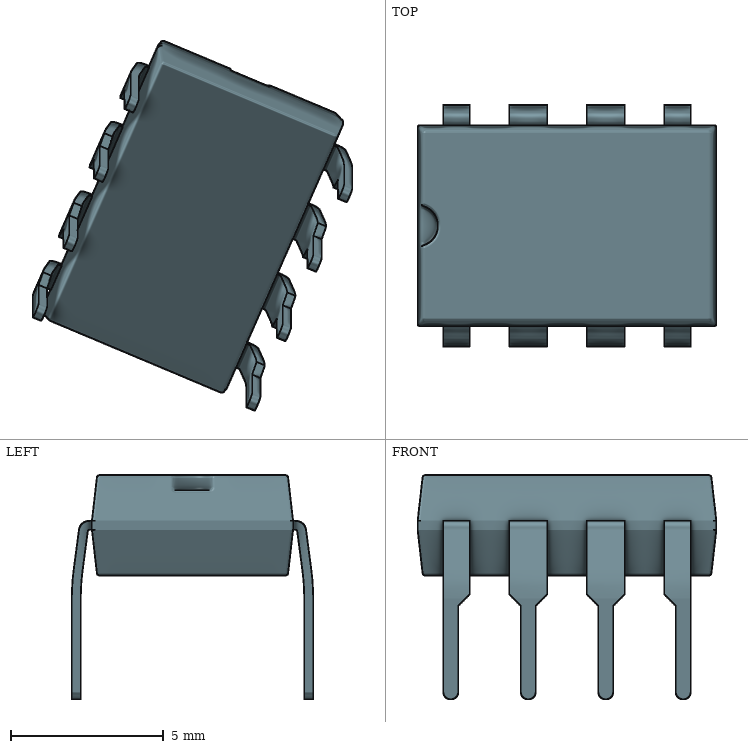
import cadquery as cq
import math

BODY_LENGTH = 9.8
BODY_WIDTH = 6.6
HALF_HEIGHT = 1.5
DRAFT = 6.5
EDGE_RADIUS = 0.1

NOTCH_RADIUS = 0.67
NOTCH_DEPTH = 0.5

LEAD_THICKNESS = 0.3
PIN_PITCH = 2.54
PINS_PER_SIDE = 4
PIN_WIDTH = 0.5
SHOULDER_WIDTH = 1.25
LEAD_SPAN = 7.92
TIP_DROP = 4.06
SHOULDER_RISE = 3.45
LEAD_SPLAY = 7.5
LEAD_STRAIGHT = 0.08
BEND_INNER_RADIUS = 0.05
KNEE_RADIUS = 7.3
LEAD_OVERLAP = 0.3

BAND_BOTTOM = HALF_HEIGHT
BAND_TOP = BAND_BOTTOM + LEAD_THICKNESS
BODY_TOP = BAND_TOP + HALF_HEIGHT
TIP_Z = -TIP_DROP
NOTCH_FLOOR = BODY_TOP - NOTCH_DEPTH


def body_outline(z):
    """Largest body rectangle, placed at height z."""
    return cq.Workplane("XY").workplane(offset=z).rect(BODY_LENGTH, BODY_WIDTH)


def make_body():
    """Straight band with a tapered half above and below, all corners rounded."""
    band = body_outline(BAND_BOTTOM).extrude(LEAD_THICKNESS)
    upper = body_outline(BAND_TOP).extrude(HALF_HEIGHT, taper=DRAFT)
    lower = body_outline(BAND_BOTTOM).extrude(-HALF_HEIGHT, taper=DRAFT)
    return band.union(upper).union(lower).edges("not(|X or |Y)").fillet(EDGE_RADIUS)


def make_notch():
    """Round pocket tool centred on the -X end, with a rounded floor edge."""
    return (
        cq.Workplane("XY")
        .workplane(offset=NOTCH_FLOOR)
        .center(-BODY_LENGTH / 2, 0)
        .circle(NOTCH_RADIUS)
        .extrude(2 * NOTCH_DEPTH)
        .faces("<Z")
        .edges()
        .fillet(EDGE_RADIUS)
    )


def round_rims(body):
    """Round the top and bottom rims together with the mouth of the notch."""
    half_mouth = NOTCH_RADIUS + EDGE_RADIUS
    taper_run = HALF_HEIGHT * math.tan(math.radians(DRAFT))
    mouth = cq.selectors.BoxSelector(
        (-BODY_LENGTH / 2, -half_mouth, NOTCH_FLOOR - EDGE_RADIUS),
        (-BODY_LENGTH / 2 + taper_run, half_mouth, BODY_TOP - EDGE_RADIUS),
    )
    body = body.faces(">Z").edges().add(body.edges(mouth)).fillet(EDGE_RADIUS)
    return body.faces("<Z").edges().fillet(EDGE_RADIUS)


def lead_profile():
    """Bent side profile of a +Y lead, in the YZ plane."""
    splay = math.radians(LEAD_SPLAY)
    bend_y = BODY_WIDTH / 2 + LEAD_STRAIGHT
    bend_z = BAND_BOTTOM - BEND_INNER_RADIUS
    outer_y = LEAD_SPAN / 2

    def bend_point(radius, angle):
        return (bend_y + radius * math.sin(angle), bend_z + radius * math.cos(angle))

    leg_turn = math.pi / 2 - splay
    outer_radius = BEND_INNER_RADIUS + LEAD_THICKNESS
    outer_end = bend_point(outer_radius, leg_turn)
    inner_end = bend_point(BEND_INNER_RADIUS, leg_turn)

    knee_y = outer_y - KNEE_RADIUS
    knee_start_y = knee_y + KNEE_RADIUS * math.cos(splay)
    slope_drop = (knee_start_y - outer_end[0]) / math.tan(splay)
    knee_z = outer_end[1] - slope_drop - KNEE_RADIUS * math.sin(splay)

    def knee_point(radius, angle):
        return (knee_y + radius * math.cos(angle), knee_z + radius * math.sin(angle))

    knee_inner = KNEE_RADIUS - LEAD_THICKNESS
    root_y = BODY_WIDTH / 2 - LEAD_OVERLAP
    return (
        cq.Workplane("YZ")
        .moveTo(root_y, BAND_TOP)
        .lineTo(bend_y, BAND_TOP)
        .threePointArc(bend_point(outer_radius, leg_turn / 2), outer_end)
        .lineTo(*knee_point(KNEE_RADIUS, splay))
        .threePointArc(knee_point(KNEE_RADIUS, splay / 2), knee_point(KNEE_RADIUS, 0))
        .lineTo(outer_y, TIP_Z)
        .lineTo(outer_y - LEAD_THICKNESS, TIP_Z)
        .lineTo(*knee_point(knee_inner, 0))
        .threePointArc(knee_point(knee_inner, splay / 2), knee_point(knee_inner, splay))
        .lineTo(*inner_end)
        .threePointArc(bend_point(BEND_INNER_RADIUS, leg_turn / 2), (bend_y, BAND_BOTTOM))
        .lineTo(root_y, BAND_BOTTOM)
        .close()
    )


def lead_face(x, left_reach, right_reach):
    """Flat outline of a lead in the XZ plane: wide shoulder, narrow round-ended pin."""
    half_pin = PIN_WIDTH / 2
    shoulder_z = TIP_Z + SHOULDER_RISE
    left_z = shoulder_z - (left_reach - half_pin)
    right_z = shoulder_z - (right_reach - half_pin)
    outline = cq.Workplane("XZ").moveTo(x - left_reach, BAND_TOP).lineTo(x - left_reach, shoulder_z)
    if left_reach > half_pin:
        outline = outline.lineTo(x - half_pin, left_z)
    outline = (
        outline.lineTo(x - half_pin, TIP_Z + half_pin)
        .threePointArc((x, TIP_Z), (x + half_pin, TIP_Z + half_pin))
        .lineTo(x + half_pin, right_z)
    )
    if right_reach > half_pin:
        outline = outline.lineTo(x + right_reach, shoulder_z)
    return outline.lineTo(x + right_reach, BAND_TOP).close()


def make_leads():
    """All leads; the end leads have no shoulder on their outboard side."""
    leads = []
    bar = lead_profile().extrude(BODY_LENGTH / 2, both=True)
    for index in range(PINS_PER_SIDE):
        x = (index - (PINS_PER_SIDE - 1) / 2) * PIN_PITCH
        left_reach = PIN_WIDTH / 2 if index == 0 else SHOULDER_WIDTH / 2
        right_reach = PIN_WIDTH / 2 if index == PINS_PER_SIDE - 1 else SHOULDER_WIDTH / 2
        blank = lead_face(x, left_reach, right_reach).extrude(-LEAD_SPAN)
        lead = bar.intersect(blank)
        leads.append(lead)
        leads.append(lead.mirror("XZ"))
    return leads


result = round_rims(make_body().cut(make_notch()))
for lead in make_leads():
    result = result.union(lead)